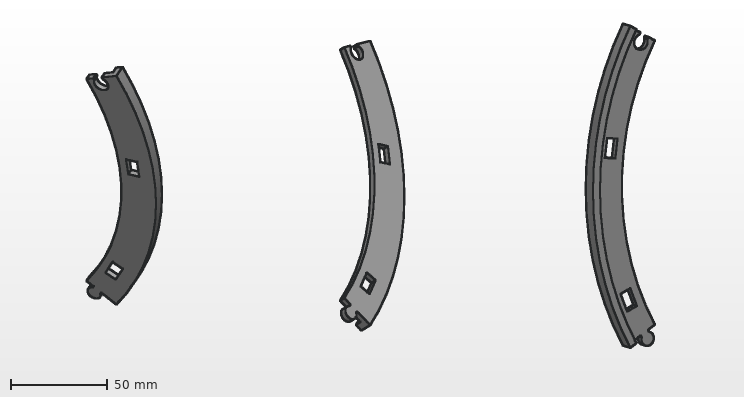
import cadquery as cq
import math

inner_radius = 150.0
outer_radius = 170.0
half_sweep = 30.0

plate_thickness = 3.6
total_thickness = 7.3
rim_width = 4.3

joint_radius = inner_radius + 7.3
ball_radius = 3.8
ball_offset = 4.0
neck_width = 5.1
socket_radius = 4.1
socket_offset = 4.3
socket_neck_width = 5.6

window_radius = 157.9
window_width = 6.3
window_length = 10.5
window_angles = (7.5, -22.5)


def polar(radius, angle):
    """Point in the XZ plane at an angle in degrees above the X axis."""
    return radius * math.cos(math.radians(angle)), radius * math.sin(math.radians(angle))


def arc_strip(inside, outside, thickness):
    """Strip between two arcs, extruded from Y = 0 towards +Y."""
    return (
        cq.Workplane("XZ")
        .moveTo(*polar(inside, -half_sweep))
        .threePointArc((inside, 0), polar(inside, half_sweep))
        .lineTo(*polar(outside, half_sweep))
        .threePointArc((outside, 0), polar(outside, -half_sweep))
        .close()
        .extrude(-thickness)
    )


def turn(body, angle):
    """Swing a body from the X axis up to an angle about the Y axis."""
    return body.rotate((0, 0, 0), (0, 1, 0), -angle)


def ball_and_neck(radius, offset, width):
    """Disc centred below the X axis, with a neck reaching up to the axis."""
    disc = cq.Workplane("XZ").center(joint_radius, -offset).circle(radius).extrude(-plate_thickness)
    neck = (
        cq.Workplane("XZ")
        .center(joint_radius, -offset / 2)
        .rect(width, offset)
        .extrude(-plate_thickness)
    )
    return disc.union(neck)


plate = arc_strip(inner_radius, outer_radius, plate_thickness)
rim = arc_strip(outer_radius - rim_width, outer_radius, total_thickness)
tab = turn(ball_and_neck(ball_radius, ball_offset, neck_width), -half_sweep)
socket = turn(ball_and_neck(socket_radius, socket_offset, socket_neck_width), half_sweep)
window = (
    cq.Workplane("XZ")
    .center(window_radius, 0)
    .rect(window_width, window_length)
    .extrude(-plate_thickness)
)

result = plate.union(rim).union(tab).cut(socket)
for window_angle in window_angles:
    result = result.cut(turn(window, window_angle))